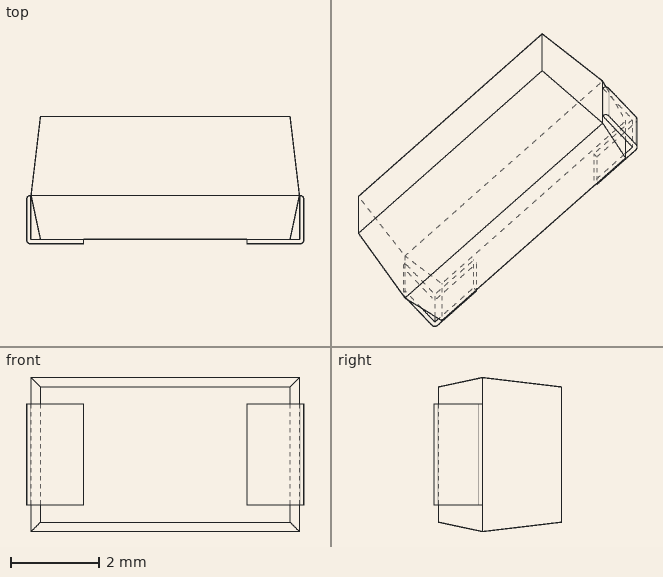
import cadquery as cq

overall_length = 6.3
lead_thickness = 0.1
lead_width = 2.3
foot_length = 1.3
body_height = 3.5
lower_depth = 1.0
upper_depth = 1.795
tip_flat = 0.005
face_inset = 0.215

body_length = overall_length - 2 * lead_thickness


def tapered_half(end_y):
    """Body half that narrows from the parting plane to its flat end face at end_y."""
    parting_plane = cq.Plane(origin=(0, 0, 0), xDir=(1, 0, 0), normal=(0, 1, 0))
    return (
        cq.Workplane(parting_plane)
        .rect(body_length, body_height)
        .workplane(offset=end_y)
        .rect(body_length - 2 * face_inset, body_height - 2 * face_inset)
        .loft(ruled=True)
    )


def lead(side):
    """L-shaped strip: a leg beside the lower half and a foot under it; side is -1 or 1 in X."""
    outer_x = side * overall_length / 2
    inner_x = side * body_length / 2
    foot_x = side * (overall_length / 2 - foot_length)
    seat_y = -lower_depth
    bottom_y = seat_y - lead_thickness
    strip = (
        cq.Workplane("XY")
        .polyline([
            (inner_x, 0),
            (outer_x, 0),
            (outer_x, bottom_y),
            (foot_x, bottom_y),
            (foot_x, seat_y),
            (inner_x, seat_y),
        ])
        .close()
        .extrude(lead_width / 2, both=True)
    )
    outer_side = ">X" if side > 0 else "<X"
    bend_radius = lead_thickness - tip_flat
    return strip.faces(outer_side).edges("|Z").fillet(bend_radius)


upper_half = tapered_half(upper_depth)
lower_half = tapered_half(-lower_depth)
leads = [lead(side) for side in (-1, 1)]

result = cq.Compound.makeCompound([
    upper_half.val(),
    lower_half.val(),
    *[strip.val() for strip in leads],
])